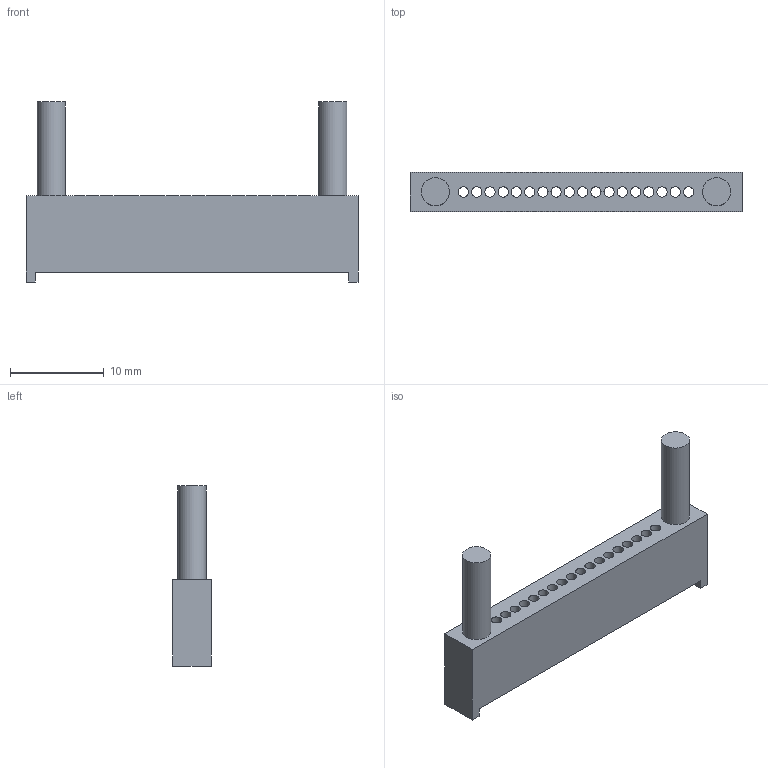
import cadquery as cq

length = 35.4
width = 4.15
body_height = 9.2

foot_length = 1.0
foot_height = 1.0

pin_diameter = 3.0
pin_height = 10.0
pin_spacing = 30.0

hole_count = 18
hole_diameter = 1.1
hole_row_span = 24.0
hole_pitch = hole_row_span / (hole_count - 1)


def make_body():
    """Block standing on z = 0, relieved underneath between two end feet."""
    block = cq.Workplane("XY").box(length, width, body_height, centered=(True, True, False))
    relief_length = length - 2 * foot_length
    relief = cq.Workplane("XY").box(relief_length, width, foot_height, centered=(True, True, False))
    return block.cut(relief)


def add_pins(body):
    """One upright guide pin near each end of the top face."""
    pins = (
        cq.Workplane("XY", origin=(0, 0, body_height))
        .pushPoints([(-pin_spacing / 2, 0), (pin_spacing / 2, 0)])
        .circle(pin_diameter / 2)
        .extrude(pin_height)
    )
    return body.union(pins)


def cut_holes(body):
    """Evenly spaced row of vertical through holes between the pins."""
    holes = (
        cq.Workplane("XY")
        .rarray(hole_pitch, 1, hole_count, 1)
        .circle(hole_diameter / 2)
        .extrude(body_height)
    )
    return body.cut(holes)


result = cut_holes(add_pins(make_body()))